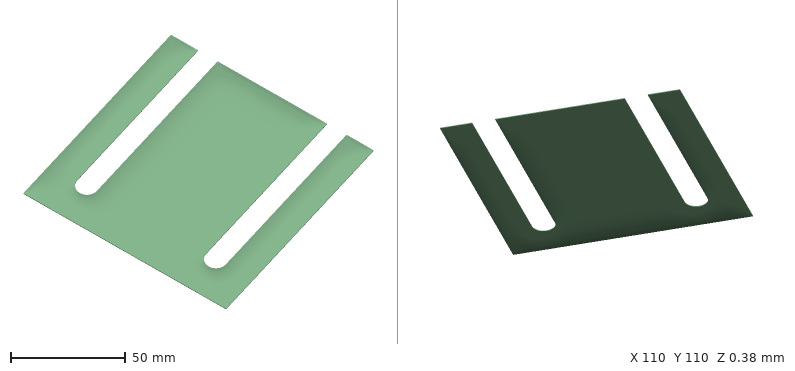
import cadquery as cq

side = 110.0
thickness = 0.38
slot_width = 10.6
slot_inset = 20.0

slot_offset = side / 2 - slot_inset
slot_end_y = slot_inset - side / 2
slot_length = side / 2 - slot_end_y


def open_slot(center_x):
    """Cutter for one slot: a round inner end and a straight run out to the +Y edge."""
    round_end = (
        cq.Workplane("XY")
        .center(center_x, slot_end_y)
        .circle(slot_width / 2)
        .extrude(thickness)
    )
    straight_run = (
        cq.Workplane("XY")
        .center(center_x, slot_end_y + slot_length / 2)
        .rect(slot_width, slot_length)
        .extrude(thickness)
    )
    return round_end.union(straight_run)


result = cq.Workplane("XY").box(side, side, thickness, centered=(True, True, False))
for center_x in (-slot_offset, slot_offset):
    result = result.cut(open_slot(center_x))